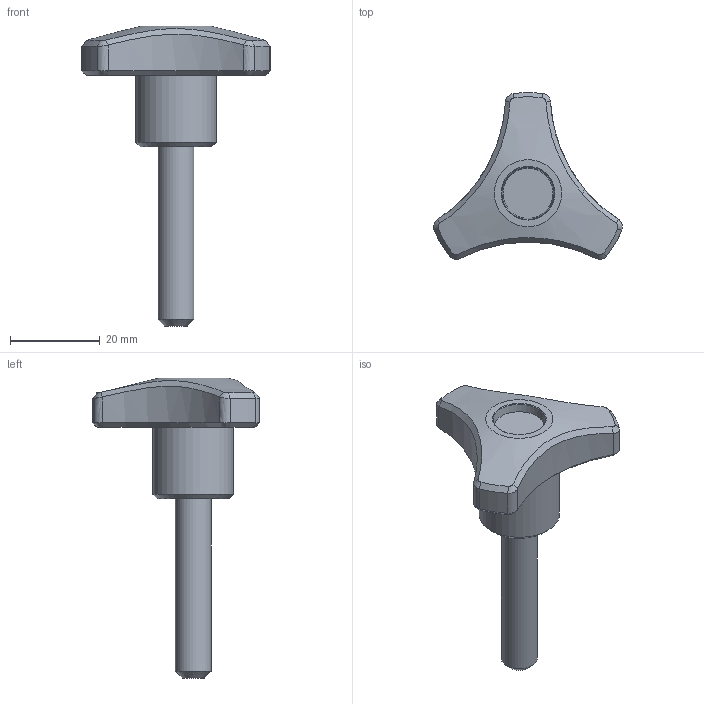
import cadquery as cq
import math

HUB_HEIGHT = 16.0
HEAD_HEIGHT = 11.0
HEAD_TOP = HUB_HEIGHT + HEAD_HEIGHT

HUB_DIAMETER = 18.0
PIN_DIAMETER = 8.0
PIN_LENGTH = 40.0
PIN_TIP_CHAMFER = 1.5

ARM_COUNT = 3
ARM_PITCH = 360.0 / ARM_COUNT
FIRST_ARM_ANGLE = 90.0
HEAD_RADIUS = 22.5
WAIST_RADIUS = 10.9
SCALLOP_RADIUS = 33.25
CORNER_RADIUS = 2.0
EDGE_CHAMFER = 1.0

FLAT_RADIUS = 7.5
CONE_DROP = 3.55

RECESS_MOUTH_DIAMETER = 12.0
RECESS_FLOOR_DIAMETER = 11.2
RECESS_DEPTH = 2.0
RECESS_CHAMFER = 0.15


def polar(radius, angle):
    """Point at a radius and an angle in degrees about the Z axis."""
    radians = math.radians(angle)
    return (radius * math.cos(radians), radius * math.sin(radians))


def arm_half_angle():
    """Angle from an arm's centreline to the corner where scallop and arm end meet."""
    scallop_distance = WAIST_RADIUS + SCALLOP_RADIUS
    corner_cosine = (HEAD_RADIUS**2 + scallop_distance**2 - SCALLOP_RADIUS**2) / (
        2 * HEAD_RADIUS * scallop_distance
    )
    return ARM_PITCH / 2 - math.degrees(math.acos(corner_cosine))


def make_arm_prism():
    """Straight-sided prism of the arm outline, with rounded corners."""
    half_angle = arm_half_angle()
    outline = cq.Workplane("XY").workplane(offset=HUB_HEIGHT)
    outline = outline.moveTo(*polar(HEAD_RADIUS, FIRST_ARM_ANGLE - half_angle))
    for index in range(ARM_COUNT):
        arm_angle = FIRST_ARM_ANGLE + index * ARM_PITCH
        next_arm_angle = arm_angle + ARM_PITCH
        outline = outline.threePointArc(
            polar(HEAD_RADIUS, arm_angle),
            polar(HEAD_RADIUS, arm_angle + half_angle),
        )
        outline = outline.threePointArc(
            polar(WAIST_RADIUS, arm_angle + ARM_PITCH / 2),
            polar(HEAD_RADIUS, next_arm_angle - half_angle),
        )
    prism = outline.close().extrude(HEAD_HEIGHT)
    return prism.edges("|Z").fillet(CORNER_RADIUS)


def make_cone_envelope():
    """Disc with a small flat on top and a cone falling away to its rim."""
    envelope_radius = 2 * HEAD_RADIUS
    slope = CONE_DROP / (HEAD_RADIUS - FLAT_RADIUS)
    rim_height = HEAD_TOP - slope * (envelope_radius - FLAT_RADIUS)
    return (
        cq.Workplane("XZ")
        .moveTo(0, HUB_HEIGHT)
        .lineTo(envelope_radius, HUB_HEIGHT)
        .lineTo(envelope_radius, rim_height)
        .lineTo(FLAT_RADIUS, HEAD_TOP)
        .lineTo(0, HEAD_TOP)
        .close()
        .revolve(360, (0, 0, 0), (0, 1, 0))
    )


def make_head():
    """Three-armed head with its upper and lower outlines chamfered."""
    head = make_arm_prism().intersect(make_cone_envelope())
    head = head.faces("<Z").chamfer(EDGE_CHAMFER)
    upper_outline = head.faces("%CONE").faces(">Z").edges("not(>Z or %LINE)")
    return upper_outline.chamfer(EDGE_CHAMFER)


def make_hub():
    """Cylindrical hub below the head."""
    hub = cq.Workplane("XY").circle(HUB_DIAMETER / 2).extrude(HUB_HEIGHT)
    return hub.faces("<Z").chamfer(EDGE_CHAMFER)


def make_pin():
    """Plain pin below the hub, with a tapered tip."""
    pin = cq.Workplane("XY").circle(PIN_DIAMETER / 2).extrude(-PIN_LENGTH)
    return pin.faces("<Z").chamfer(PIN_TIP_CHAMFER)


def make_recess():
    """Cutter for the tapered round recess, with a chamfer at its mouth."""
    mouth_radius = RECESS_MOUTH_DIAMETER / 2
    floor_radius = RECESS_FLOOR_DIAMETER / 2
    floor = HEAD_TOP - RECESS_DEPTH
    return (
        cq.Workplane("XZ")
        .moveTo(0, floor)
        .lineTo(floor_radius, floor)
        .lineTo(mouth_radius - RECESS_CHAMFER, HEAD_TOP - RECESS_CHAMFER)
        .lineTo(mouth_radius, HEAD_TOP)
        .lineTo(0, HEAD_TOP)
        .close()
        .revolve(360, (0, 0, 0), (0, 1, 0))
    )


result = make_head().union(make_hub()).union(make_pin()).cut(make_recess())